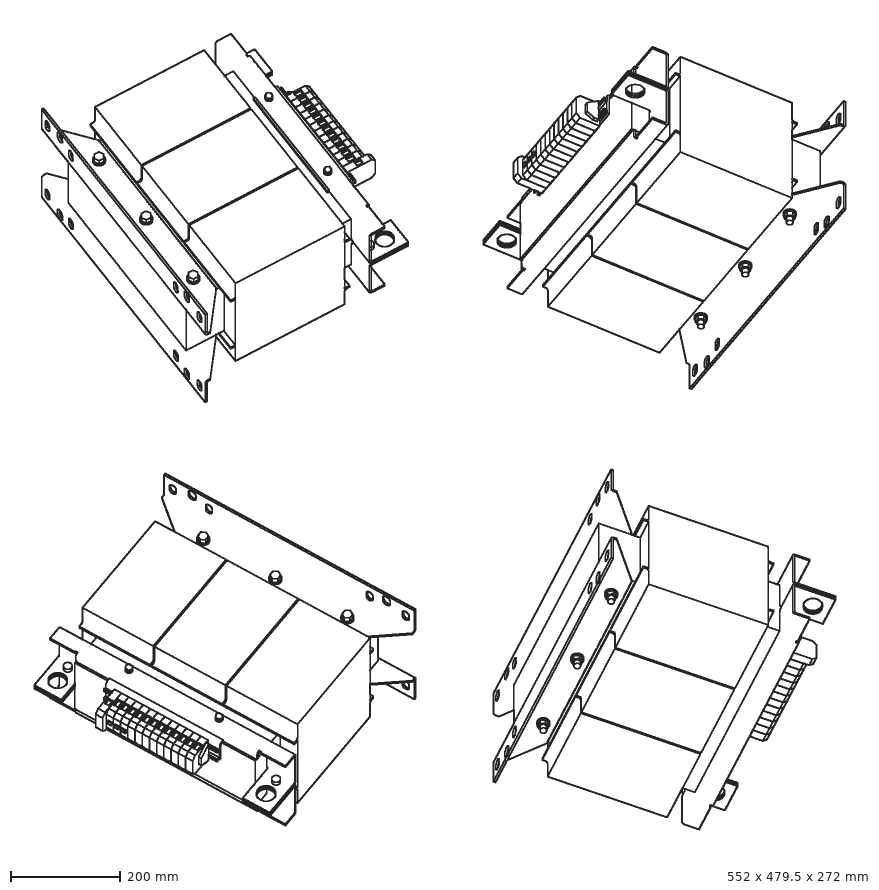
import cadquery as cq
import math

LENGTH = 552.0
HEIGHT = 272.0
DEPTH = 479.5
SHEET = 4.5
BEND = 6.5

CORE_LENGTH = 397.5
CORE_HALF_HEIGHT = 70.5
CORE_FRONT = 8.5
CORE_REAR = 409.5

COIL_PITCH = 159.0
COIL_GAP = 3.0
COIL_FRONT = 91.0
COIL_REAR = 328.5
COIL_HALF_HEIGHT = 121.0
BOBBIN_OVERHANG = 10.5
BOBBIN_BEND = 10.0
BOBBIN_LEG = 16.5

BRACKET_REAR = 74.0
BRACKET_TAPER_START = 11.0
SLOT_LENGTH = 25.0
SLOT_WIDTH = 14.5
SLOT_Z = 106.0
SLOT_X = (177.0, 256.5)
KEY_SLOT_WIDTH = 16.5
KEY_SLOT_X = 214.0
KEY_SLOT_Z = 120.0

BOLT_Y = 49.5
BOLT_DIAMETER = 12.0
BOLT_HEX = 20.0
BOLT_HEAD_HEIGHT = 10.5
BOLT_NUT_HEIGHT = 9.5
BOLT_END_Z = -98.0
WASHER_DIAMETER = 24.0
WASHER_HEIGHT = 3.0

CLAMP_LENGTH = 519.0
CLAMP_FRONT = 367.0
CLAMP_REAR = 405.5
CLAMP_HALF_HEIGHT = 91.5
RELIEF_WIDTH = 4.5
EYE_WIDTH = 59.5
EYE_REAR = 452.5
EYE_GAP = 2.0
EYE_HOLE_DIAMETER = 35.5
EYE_HOLE_Y = 420.0
EYE_BOLT_DIAMETER = 16.0
EYE_BOLT_HEIGHT = 8.5
EYE_BOLT_Y = 387.5

CARRIER_LENGTH = 250.5
CARRIER_FRONT = 362.5
CARRIER_REAR = 417.5
CARRIER_LOW_Z = 27.0
SCREW_X = 99.5
SCREW_Y = 380.5
SCREW_HEAD = 14.5
SCREW_SHANK = 4.5
SCREW_STEP = 4.5
RAIL_Z = 46.0
RAIL_HEIGHT = 35.0
RAIL_WEB_HEIGHT = 23.0
RAIL_DEPTH = 7.0
RAIL_SHEET = 1.4

TERMINAL_COUNT = 12
TERMINAL_ROW_LENGTH = 207.0
TERMINAL_PITCH = TERMINAL_ROW_LENGTH / (TERMINAL_COUNT + 1)
TERMINAL_GAP = 0.5
TERMINAL_FIRST_X = -100.5
TERMINAL_FRONT = 418.5
TERMINAL_REAR = 468.5
TERMINAL_TOP = 70.0
TERMINAL_BOTTOM = 14.0
TERMINAL_MIDDLE = (TERMINAL_TOP + TERMINAL_BOTTOM) / 2
TERMINAL_CHAMFER = 8.5
SOCKET_WIDTH = 9.5
SOCKET_LENGTH = 15.0
SOCKET_DEPTH = 4.5
SOCKET_Y = 441.0
EARTH_SOCKET_LENGTH = 12.5
EARTH_SOCKET_Y = 448.0
TAB_COUNT = 3
TAB_WIDTH = 9.0
TAB_HEIGHT = 8.5
TAB_DEPTH = 2.0
END_STOP_WIDTH = 6.0
END_STOP_REAR = 449.5
END_STOP_FRONT = CARRIER_REAR + RAIL_DEPTH
END_STOP_NOSE = 22.0
END_STOP_FOOT_REAR = 433.5
END_STOP_LOW_Z = 22.0


def block(x0, x1, y0, y1, z0, z1):
    """Box between two corners."""
    return cq.Workplane("XY").box(x1 - x0, y1 - y0, z1 - z0, centered=False).translate((x0, y0, z0))


def extrude_along_x(profile, x0, x1):
    """Extrude a profile drawn in the YZ plane from x0 to x1."""
    return profile.extrude(x1 - x0).translate((x0, 0, 0))


def bent_angle(x0, x1, corner, y_end, z_end, radius=BEND):
    """L-shaped bent sheet: legs run from the outer corner (y, z) to y_end and to z_end."""
    y, z = corner
    sy = math.copysign(1, y_end - y)
    sz = math.copysign(1, z_end - z)
    inner = radius - SHEET
    diagonal = 1 - math.sqrt(0.5)
    profile = (
        cq.Workplane("YZ")
        .moveTo(y, z_end)
        .lineTo(y, z + sz * radius)
        .threePointArc((y + sy * radius * diagonal, z + sz * radius * diagonal), (y + sy * radius, z))
        .lineTo(y_end, z)
        .lineTo(y_end, z + sz * SHEET)
        .lineTo(y + sy * radius, z + sz * SHEET)
        .threePointArc(
            (y + sy * (SHEET + inner * diagonal), z + sz * (SHEET + inner * diagonal)),
            (y + sy * SHEET, z + sz * radius),
        )
        .lineTo(y + sy * SHEET, z_end)
        .close()
    )
    return extrude_along_x(profile, x0, x1)


def cylinder(x, y, z0, z1, diameter):
    """Upright cylinder."""
    return cq.Workplane("XY", origin=(x, y, z0)).circle(diameter / 2).extrude(z1 - z0)


def hexagon(x, y, z0, z1, corners, turn=0):
    """Upright hexagonal prism, corners along X unless turned."""
    prism = cq.Workplane("XY").polygon(6, corners).extrude(z1 - z0)
    return prism.rotate((0, 0, 0), (0, 0, 1), turn).translate((x, y, z0))


def flip(shape):
    """Mirror a shape to the other side of Z = 0."""
    return shape.mirror("XY")


def coil(x):
    """One winding with four bobbin flanges resting on the core."""
    half = (COIL_PITCH - COIL_GAP) / 2
    x0, x1 = x - half, x + half
    body = block(x0, x1, COIL_FRONT, COIL_REAR, -COIL_HALF_HEIGHT, COIL_HALF_HEIGHT)
    flange_top = CORE_HALF_HEIGHT + BOBBIN_LEG
    front_corner = (COIL_FRONT + SHEET, CORE_HALF_HEIGHT)
    rear_corner = (COIL_REAR - SHEET, CORE_HALF_HEIGHT)
    front = bent_angle(x0, x1, front_corner, COIL_FRONT - BOBBIN_OVERHANG, flange_top, BOBBIN_BEND)
    rear = bent_angle(x0, x1, rear_corner, COIL_REAR + BOBBIN_OVERHANG, flange_top, BOBBIN_BEND)
    return body.union(front).union(rear).union(flip(front)).union(flip(rear))


def core():
    half = CORE_LENGTH / 2
    return block(-half, half, CORE_FRONT, CORE_REAR, -CORE_HALF_HEIGHT, CORE_HALF_HEIGHT)


def mounting_bracket():
    """Upper bracket: slotted upright face and a tapered leg lying on the core."""
    half = LENGTH / 2
    bracket = bent_angle(-half, half, (0, CORE_HALF_HEIGHT), BRACKET_REAR, HEIGHT / 2)
    outline = (
        cq.Workplane("XY")
        .polyline([
            (-half, 0), (half, 0), (half, BRACKET_TAPER_START), (CORE_LENGTH / 2, BRACKET_REAR),
            (-CORE_LENGTH / 2, BRACKET_REAR), (-half, BRACKET_TAPER_START),
        ])
        .close()
        .extrude(HEIGHT / 2)
    )
    slots = [(x, SLOT_Z, SLOT_WIDTH) for x in SLOT_X]
    slots.append((KEY_SLOT_X, KEY_SLOT_Z, KEY_SLOT_WIDTH))
    bracket = bracket.intersect(outline)
    for x, z, width in slots:
        cutter = (
            cq.Workplane("XZ")
            .pushPoints([(-x, z), (x, z)])
            .slot2D(SLOT_LENGTH, width, 90)
            .extrude(SHEET, both=True)
        )
        bracket = bracket.cut(cutter)
    return bracket


def core_bolt(x):
    """Bolt through both brackets, head and washer above, washer and nut below."""
    seat = CORE_HALF_HEIGHT + SHEET
    washer_top = seat + WASHER_HEIGHT
    head = hexagon(x, BOLT_Y, washer_top, washer_top + BOLT_HEAD_HEIGHT, BOLT_HEX, turn=90)
    nut = hexagon(x, BOLT_Y, -washer_top - BOLT_NUT_HEIGHT, -washer_top, BOLT_HEX)
    washer = cylinder(x, BOLT_Y, seat, washer_top, WASHER_DIAMETER)
    shank = cylinder(x, BOLT_Y, BOLT_END_Z, seat, BOLT_DIAMETER)
    return shank.union(washer).union(flip(washer)).union(head).union(nut)


def clamp():
    """Upper clamp channel with a lip resting on the core and a lifting eye at each end.

    Beside the lip the top flange is extended by a strip, with a bend relief between the two.
    """
    half = CLAMP_LENGTH / 2
    lip_half = half - EYE_WIDTH
    eye_low = EYE_GAP / 2
    channel = bent_angle(-half, half, (CLAMP_FRONT, CLAMP_HALF_HEIGHT), CLAMP_REAR - BEND, eye_low + BEND)
    lip = bent_angle(
        -lip_half, lip_half, (CLAMP_REAR, CLAMP_HALF_HEIGHT), CLAMP_FRONT + BEND, CORE_HALF_HEIGHT
    )
    channel = channel.union(lip)
    for side in (-1, 1):
        x = side * (half - EYE_WIDTH / 2)
        x0, x1 = x - EYE_WIDTH / 2, x + EYE_WIDTH / 2
        eye = bent_angle(x0, x1, (CLAMP_FRONT, eye_low), EYE_REAR, CLAMP_HALF_HEIGHT / 2)
        hole = cylinder(x, EYE_HOLE_Y, 0, CLAMP_HALF_HEIGHT / 2, EYE_HOLE_DIAMETER)
        strip = block(
            x0, x1, CLAMP_REAR - BEND, CLAMP_REAR - SHEET, CLAMP_HALF_HEIGHT - SHEET, CLAMP_HALF_HEIGHT
        )
        strip = strip.translate((side * RELIEF_WIDTH, 0, 0)).intersect(strip)
        channel = channel.union(eye.cut(hole)).union(strip)
    return channel


def eye_bolts():
    """Round pins through both lifting eyes, standing proud of the upper one."""
    x = (CLAMP_LENGTH - EYE_WIDTH) / 2
    eye_top = EYE_GAP / 2 + SHEET
    left = cylinder(-x, EYE_BOLT_Y, -eye_top, eye_top + EYE_BOLT_HEIGHT, EYE_BOLT_DIAMETER)
    return left.union(left.mirror("YZ"))


def carrier():
    """Angle plate on the core, held by two screws, with a top hat rail on its rear face."""
    half = CARRIER_LENGTH / 2
    plate_top = CORE_HALF_HEIGHT + SHEET
    part = bent_angle(-half, half, (CARRIER_REAR, plate_top), CARRIER_FRONT, CARRIER_LOW_Z)
    washer_top = CLAMP_HALF_HEIGHT + SCREW_STEP
    for x in (-SCREW_X, SCREW_X):
        part = part.union(cylinder(x, SCREW_Y, CORE_HALF_HEIGHT, washer_top, SCREW_SHANK))
        part = part.union(cylinder(x, SCREW_Y, CLAMP_HALF_HEIGHT, washer_top, SCREW_HEAD))
        part = part.union(hexagon(x, SCREW_Y, washer_top, washer_top + SCREW_STEP, SCREW_HEAD))
    return part.union(top_hat_rail(half))


def top_hat_rail(half):
    """Rail of hat section: web on the carrier, two legs and two brims."""
    brim_rear = CARRIER_REAR + RAIL_DEPTH
    brim_front = brim_rear - RAIL_SHEET
    web = RAIL_WEB_HEIGHT / 2
    groove = web - RAIL_SHEET
    brim = RAIL_HEIGHT / 2
    rail = block(-half, half, CARRIER_REAR, brim_rear, RAIL_Z - web, RAIL_Z + web)
    rail = rail.union(block(-half, half, brim_front, brim_rear, RAIL_Z - brim, RAIL_Z + brim))
    hollow = block(
        -half, half, CARRIER_REAR + RAIL_SHEET, brim_rear, RAIL_Z - groove, RAIL_Z + groove
    )
    return rail.cut(hollow)


def terminal(x0, rear, socket_y, socket_length):
    """Terminal block with chamfered rear edges and a square wire socket in the top."""
    x1 = x0 + TERMINAL_PITCH - TERMINAL_GAP
    body = block(x0, x1, TERMINAL_FRONT, rear, TERMINAL_BOTTOM, TERMINAL_TOP)
    body = body.faces(">Y").edges("|X").chamfer(TERMINAL_CHAMFER)
    x = (x0 + x1) / 2
    socket = block(
        x - SOCKET_WIDTH / 2, x + SOCKET_WIDTH / 2,
        socket_y - socket_length / 2, socket_y + socket_length / 2,
        TERMINAL_TOP - SOCKET_DEPTH, TERMINAL_TOP,
    )
    return body.cut(socket)


def end_stop():
    """Tapered plate closing the left end of the terminal row."""
    nose_top = TERMINAL_MIDDLE + END_STOP_NOSE / 2
    nose_bottom = TERMINAL_MIDDLE - END_STOP_NOSE / 2
    profile = (
        cq.Workplane("YZ")
        .polyline([
            (END_STOP_FRONT, TERMINAL_TOP), (END_STOP_REAR, nose_top), (END_STOP_REAR, nose_bottom),
            (END_STOP_FOOT_REAR, END_STOP_LOW_Z), (END_STOP_FRONT, END_STOP_LOW_Z),
        ])
        .close()
    )
    return extrude_along_x(profile, TERMINAL_FIRST_X - END_STOP_WIDTH, TERMINAL_FIRST_X)


def terminal_row():
    row = end_stop()
    for i in range(TERMINAL_COUNT):
        x0 = TERMINAL_FIRST_X + i * TERMINAL_PITCH
        row = row.union(terminal(x0, TERMINAL_REAR, SOCKET_Y, SOCKET_LENGTH))
        if i >= TERMINAL_COUNT - TAB_COUNT:
            x = x0 + (TERMINAL_PITCH - TERMINAL_GAP) / 2
            row = row.union(block(
                x - TAB_WIDTH / 2, x + TAB_WIDTH / 2, TERMINAL_REAR, TERMINAL_REAR + TAB_DEPTH,
                TERMINAL_MIDDLE - TAB_HEIGHT / 2, TERMINAL_MIDDLE + TAB_HEIGHT / 2,
            ))
    earth_x = TERMINAL_FIRST_X + TERMINAL_COUNT * TERMINAL_PITCH
    return row.union(terminal(earth_x, DEPTH, EARTH_SOCKET_Y, EARTH_SOCKET_LENGTH))


bracket = mounting_bracket()
rear_clamp = clamp()

result = core().union(bracket).union(flip(bracket)).union(rear_clamp).union(flip(rear_clamp))
for position in (-COIL_PITCH, 0, COIL_PITCH):
    result = result.union(coil(position)).union(core_bolt(position))
result = result.union(eye_bolts()).union(carrier()).union(terminal_row())